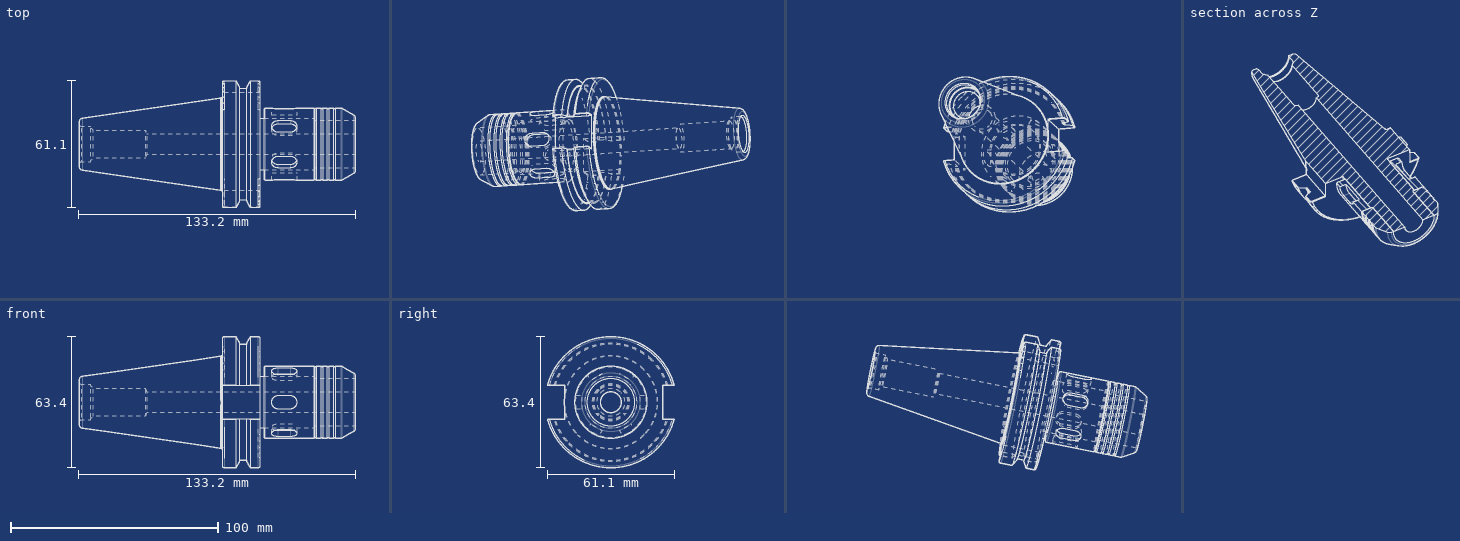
import cadquery as cq
import math

total_length = 133.2
taper_length = 68.2
collar_length = 0.8
flange_start = taper_length + collar_length
flange_end = 87.3
nut_start = 89.1
cap_start = 113.3
cone_start = 126.6

taper_large_d = 44.6
taper_ratio = 7 / 24
taper_small_d = taper_large_d - taper_ratio * taper_length
collar_d = 45.0
collar_chamfer_length = 0.4
shank_end_fillet = 1.7

flange_d = 63.4
flange_fillet = 0.9
groove_floor_d = 56.2
groove_floor_start = 77.4
groove_floor_end = 80.7
groove_step = 0.5
groove_slope = math.radians(60)
slot_width = 16.3
slot_floor_front = 22.3
slot_floor_back = 25.0
slot_edge_chamfer = 0.3

mouth_d = 18.0
counterbore_d = 17.0
counterbore_depth = 5.3
lead_in_d = 16.3
mouth_chamfer_length = 1.0
tapped_bore_d = 13.5
tapped_bore_depth = 32.0
through_bore_d = 10.0
drill_point_half_angle = math.radians(70)

spindle_d = 25.0
spindle_tip_d = 22.9

nut_d = 34.9
nut_fillet = 0.8
wrench_slot_count = 6
wrench_slot_length = 12.3
wrench_slot_width = 6.4
wrench_slot_centre = 98.9
wrench_slot_floor = 14.0

cap_rear_land = 0.4
cap_rear_chamfer_length = 0.7
cap_rear_depth = 0.4
cap_groove_count = 3
cap_groove_pitch = 3.0
cap_groove_first = 117.0
cap_groove_width = 0.9
cap_groove_depth = 0.4
cap_cone_angle = math.radians(30)
cap_front_fillet = 1.9
cap_cone_fillet = 1.0


def revolve_about_x(points):
    """Solid of revolution about X from (x, radius) corners."""
    return cq.Workplane("XY").polyline(points).close().revolve(360, (0, 0, 0), (1, 0, 0))


def flange_groove():
    """Ring that cuts the trapezoidal gripper groove."""
    floor_r = groove_floor_d / 2
    shoulder_r = floor_r + groove_step
    rim_r = flange_d / 2 + 1.3
    spread = (rim_r - shoulder_r) / math.tan(groove_slope)
    return revolve_about_x([
        (groove_floor_start, floor_r),
        (groove_floor_end, floor_r),
        (groove_floor_end, shoulder_r),
        (groove_floor_end + spread, rim_r),
        (groove_floor_start - spread, rim_r),
        (groove_floor_start, shoulder_r),
    ])


def drive_slot(side, floor):
    """Block that cuts one drive slot; side is -1 or +1 along Y."""
    depth = flange_d / 2
    return cq.Workplane("XY").box(flange_end - flange_start, depth, slot_width).translate(
        ((flange_start + flange_end) / 2, side * (floor + depth / 2), 0)
    )


def make_flange():
    flange = cq.Workplane("YZ", origin=(flange_start, 0, 0)).circle(flange_d / 2)
    flange = flange.extrude(flange_end - flange_start).edges().fillet(flange_fillet)
    for side, floor in ((-1, slot_floor_front), (1, slot_floor_back)):
        flange = flange.cut(drive_slot(side, floor))
        wall_edges = flange.faces("+Z or -Z").edges().vals()
        outer_edges = [e for e in wall_edges if side * e.Center().y > floor + slot_edge_chamfer]
        flange = flange.newObject(outer_edges).chamfer(slot_edge_chamfer)
    return flange.cut(flange_groove())


def shank_bore():
    """Stepped bore through the whole holder."""
    lead_in_length = (lead_in_d - tapped_bore_d) / 2
    point_length = (tapped_bore_d - through_bore_d) / 2 / math.tan(drill_point_half_angle)
    return revolve_about_x([
        (0, 0),
        (0, mouth_d / 2),
        (mouth_chamfer_length, counterbore_d / 2),
        (counterbore_depth, counterbore_d / 2),
        (counterbore_depth, lead_in_d / 2),
        (counterbore_depth + lead_in_length, tapped_bore_d / 2),
        (tapped_bore_depth, tapped_bore_d / 2),
        (tapped_bore_depth + point_length, through_bore_d / 2),
        (total_length, through_bore_d / 2),
        (total_length, 0),
    ])


def make_holder():
    shank = revolve_about_x([
        (0, 0),
        (0, taper_small_d / 2),
        (taper_length, taper_large_d / 2),
        (taper_length + collar_chamfer_length, collar_d / 2),
        (flange_start, collar_d / 2),
        (flange_start, 0),
    ])
    shank = shank.faces("<X").edges().fillet(shank_end_fillet)
    flange = make_flange()
    spindle = revolve_about_x([
        (flange_end, 0),
        (flange_end, spindle_d / 2),
        (cap_start, spindle_d / 2),
        (cap_start, spindle_tip_d / 2),
        (total_length, spindle_tip_d / 2),
        (total_length, 0),
    ])
    return shank.union(flange).union(spindle).cut(shank_bore())


def wrench_slot(angle):
    """Flat-floored slot cutter, turned about X from the -Y side."""
    slot = cq.Workplane("XZ", origin=(wrench_slot_centre, -wrench_slot_floor, 0))
    slot = slot.slot2D(wrench_slot_length, wrench_slot_width).extrude(nut_d / 2)
    return slot.rotate((0, 0, 0), (1, 0, 0), angle)


def make_nut():
    nut = cq.Workplane("YZ", origin=(nut_start, 0, 0)).circle(nut_d / 2).extrude(cap_start - nut_start)
    nut = nut.faces("<X").edges().fillet(nut_fillet)
    nut = nut.cut(cq.Workplane("YZ", origin=(nut_start, 0, 0)).circle(spindle_d / 2)
                  .extrude(cap_start - nut_start))
    for i in range(wrench_slot_count):
        nut = nut.cut(wrench_slot(i * 360 / wrench_slot_count))
    return nut


def cap_groove(centre):
    """Ring groove cutter with a round floor."""
    r = nut_d / 2
    left = (centre - cap_groove_width / 2, r)
    right = (centre + cap_groove_width / 2, r)
    profile = cq.Workplane("XY").moveTo(*left).threePointArc((centre, r - cap_groove_depth), right).close()
    return profile.revolve(360, (0, 0, 0), (1, 0, 0))


def make_cap():
    r = nut_d / 2
    front_r = r - (total_length - cone_start) * math.tan(cap_cone_angle)
    cap = revolve_about_x([
        (cap_start, 0),
        (cap_start, r - cap_rear_depth),
        (cap_start + cap_rear_land, r - cap_rear_depth),
        (cap_start + cap_rear_land + cap_rear_chamfer_length, r),
        (cone_start, r),
        (total_length, front_r),
        (total_length, 0),
    ])
    cap = cap.faces(">X").edges().fillet(cap_front_fillet)
    cap = cap.edges(cq.selectors.NearestToPointSelector((cone_start, 0, 0))).fillet(cap_cone_fillet)
    for i in range(cap_groove_count):
        cap = cap.cut(cap_groove(cap_groove_first + i * cap_groove_pitch))
    tip_hole = cq.Workplane("YZ", origin=(cap_start, 0, 0)).circle(spindle_tip_d / 2)
    return cap.cut(tip_hole.extrude(total_length - cap_start))


holder = make_holder()
nut = make_nut()
cap = make_cap()

result = cq.Compound.makeCompound([holder.val(), nut.val(), cap.val()])